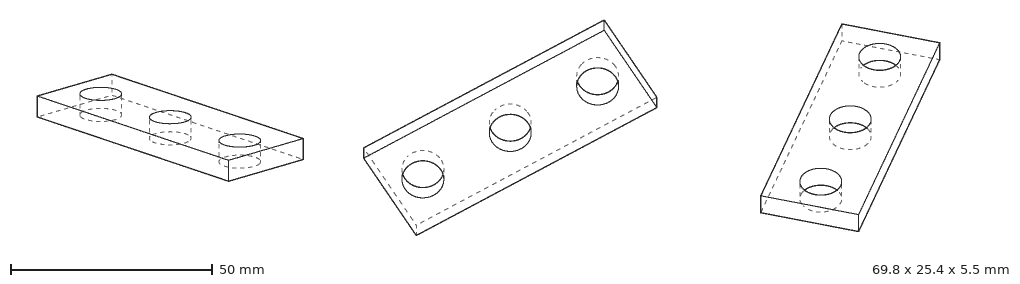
import cadquery as cq

length = 69.85
width = 25.4
thickness = 5.5

hole_diameter = 10.4
hole_count = 3
hole_pitch = 25.35

bar = cq.Workplane("XY").box(length, width, thickness)

result = (
    bar.faces(">Z")
    .workplane()
    .rarray(hole_pitch, 0.7, hole_count, 1)
    .hole(hole_diameter)
)